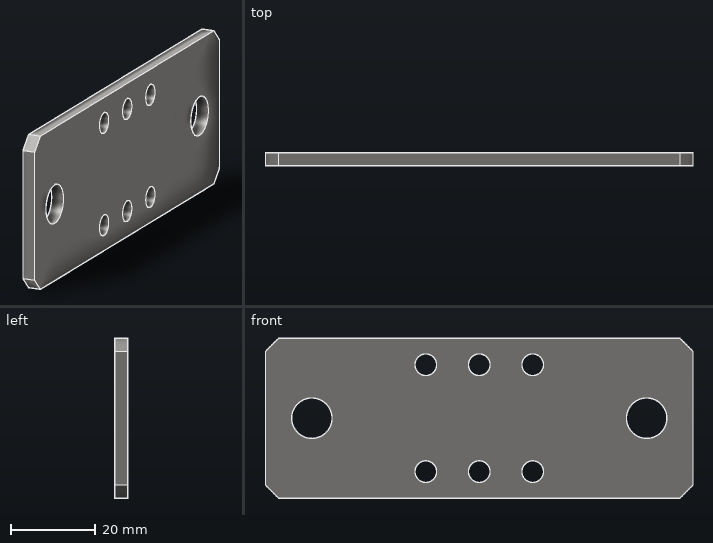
import cadquery as cq

length = 101.6
height = 38.1
thickness = 3.1
corner_chamfer = 3.1

mount_diameter = 9.5
mount_spacing = 79.6

small_diameter = 5.1
small_columns = 3
small_rows = 2
column_pitch = 12.7
row_pitch = 2 * column_pitch


def chamfered_plate():
    """Plate centred on the origin with its four corners cut off."""
    plate = cq.Workplane("XY").box(length, thickness, height)
    return plate.edges("|Y").chamfer(corner_chamfer)


def drill_grid(body, x_pitch, z_pitch, columns, rows, diameter):
    """Drill a centred grid of through holes along Y."""
    face = body.faces("<Y").workplane(centerOption="CenterOfBoundBox")
    return face.rarray(x_pitch, z_pitch, columns, rows).hole(diameter)


result = chamfered_plate()
result = drill_grid(result, mount_spacing, height, 2, 1, mount_diameter)
result = drill_grid(result, column_pitch, row_pitch, small_columns, small_rows, small_diameter)